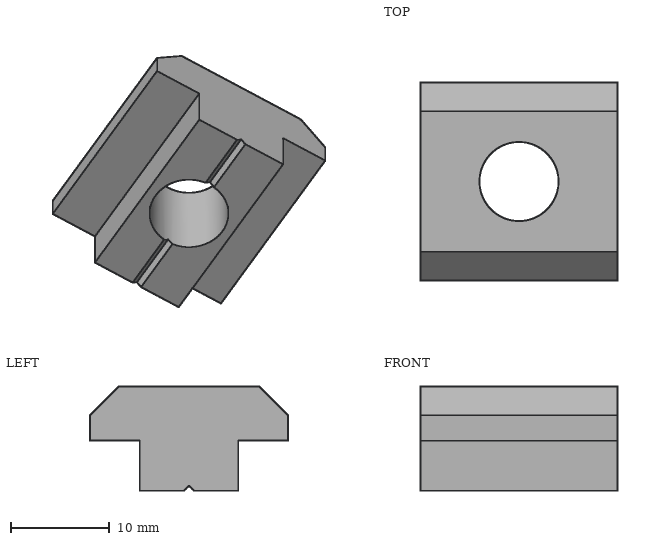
import cadquery as cq

length = 20.0
flange_width = 20.1
total_height = 10.6
flange_height = 5.5
chamfer = 2.93
stem_width = 10.0
hole_diameter = 8.0
notch_width = 1.0
notch_depth = notch_width / 2

half_flange = flange_width / 2
half_stem = stem_width / 2
half_notch = notch_width / 2
flange_bottom = total_height - flange_height

profile = [
    (-half_stem, 0),
    (-half_notch, 0),
    (0, notch_depth),
    (half_notch, 0),
    (half_stem, 0),
    (half_stem, flange_bottom),
    (half_flange, flange_bottom),
    (half_flange, total_height - chamfer),
    (half_flange - chamfer, total_height),
    (-half_flange + chamfer, total_height),
    (-half_flange, total_height - chamfer),
    (-half_flange, flange_bottom),
    (-half_stem, flange_bottom),
]
body = cq.Workplane("YZ").polyline(profile).close().extrude(length / 2, both=True)

hole = cq.Workplane("XY").circle(hole_diameter / 2).extrude(total_height)

result = body.cut(hole)